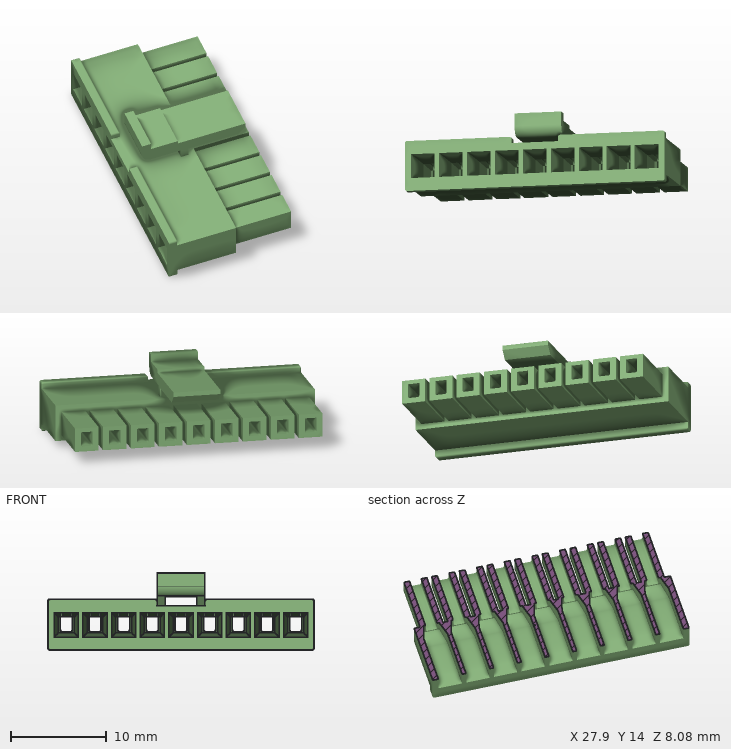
import cadquery as cq

position_count = 9
row_span = 24.0
pitch = row_span / (position_count - 1)
position_xs = [i * pitch - row_span / 2 for i in range(position_count)]

housing_width = 27.85
housing_length = 7.55
housing_bottom = 0.78
housing_top = 4.65

flange_thickness = 0.97
flange_height = 5.32
flange_radius = 0.2
back_radius = 0.17

total_length = 14.0
cell_size = 2.53
cell_bottom = 1.36
cell_middle = cell_bottom + cell_size / 2
cell_top = cell_bottom + cell_size

funnel_length = 1.67
funnel_start = housing_length - funnel_length
funnel_end_size = 1.67
throat_width = 1.23
throat_bottom = 1.92
throat_top = cell_middle + funnel_end_size / 2
throat_radius = 0.17
key_slot_width = 0.22

latch_width = 5
latch_front = 1.5
latch_back = 13.15
latch_top = 8.08
lip_back = 2.5
pad_back = 5.51
pad_top = 7.27
arm_top = 6.9
arm_bottom = 5.6
front_bottom = 5.68
thumb_radius = 1.0
tip_chamfer = 0.84
leg_front = 5.88
leg_back = 6.7
leg_width = 0.85


def block(x_range, y_range, z_range):
    """Box spanning the given (low, high) limits."""
    lows, highs = zip(x_range, y_range, z_range)
    size = [high - low for low, high in zip(lows, highs)]
    return cq.Workplane("XY").box(*size, centered=False).translate(lows)


def centered_block(x_center, width, y_range, z_range):
    return block((x_center - width / 2, x_center + width / 2), y_range, z_range)


def flange_block(x_size, z_range):
    """Flange-thick block centred on X."""
    return centered_block(0, x_size, (0, flange_thickness), z_range)


def make_flange():
    """Plate with rounded corners, rounded back edges and a notch below the latch."""
    outline = flange_block(housing_width, (0, flange_height))
    outline = outline.cut(flange_block(latch_width, (housing_top, flange_height)))
    outline = outline.edges("|Y and <Z").fillet(flange_radius)
    outline = outline.edges("|Y and >Z").fillet(flange_radius)

    lower = flange_block(housing_width, (0, housing_top))
    lower = lower.edges(">Y and <Z").fillet(back_radius)
    upper = flange_block(housing_width, (housing_top, flange_height))
    upper = upper.edges("|Y and >Z").fillet(flange_radius)
    upper = upper.faces(">Y").edges("not <Z").fillet(back_radius)
    return lower.union(upper).intersect(outline)


def make_cavity(x):
    """Passage for one terminal, open from the mating face to the back of its sleeve."""
    pocket = centered_block(x, cell_size, (0, funnel_start), (cell_bottom, cell_top))
    funnel = (
        cq.Workplane("XZ", origin=(x, funnel_start, cell_middle))
        .rect(cell_size, cell_size)
        .workplane(offset=-funnel_length)
        .rect(funnel_end_size, funnel_end_size)
        .loft(ruled=True)
    )
    throat = centered_block(x, throat_width, (funnel_start, total_length), (throat_bottom, throat_top))
    throat = throat.edges("|Y and <Z").fillet(throat_radius)
    cavity = pocket.union(funnel).union(throat)
    slot_offset = (throat_width - key_slot_width) / 2
    for slot_x in (x - slot_offset, x + slot_offset):
        slot = centered_block(
            slot_x, key_slot_width, (funnel_start, housing_length), (cell_middle, cell_top)
        )
        cavity = cavity.union(slot)
    return cavity


def make_latch():
    arm = (
        cq.Workplane("YZ")
        .moveTo(latch_front, latch_top)
        .lineTo(lip_back, latch_top)
        .lineTo(lip_back, pad_top)
        .lineTo(pad_back, pad_top)
        .lineTo(pad_back, arm_top)
        .lineTo(latch_back, arm_top)
        .lineTo(latch_back, arm_bottom + tip_chamfer)
        .lineTo(latch_back - tip_chamfer, arm_bottom)
        .lineTo(leg_front, arm_bottom)
        .lineTo(leg_front, front_bottom)
        .lineTo(latch_front + thumb_radius, front_bottom)
        .radiusArc((latch_front, front_bottom + thumb_radius), thumb_radius)
        .close()
        .extrude(latch_width / 2, both=True)
    )
    leg_offset = (latch_width - leg_width) / 2
    for leg_x in (-leg_offset, leg_offset):
        arm = arm.union(
            centered_block(leg_x, leg_width, (leg_front, leg_back), (housing_top, arm_top))
        )
    return arm


result = centered_block(0, housing_width, (0, housing_length), (housing_bottom, housing_top))
result = result.union(make_flange()).union(make_latch())
for position_x in position_xs:
    sleeve = centered_block(
        position_x, cell_size, (housing_length, total_length), (cell_bottom, cell_top)
    )
    result = result.union(sleeve).cut(make_cavity(position_x))